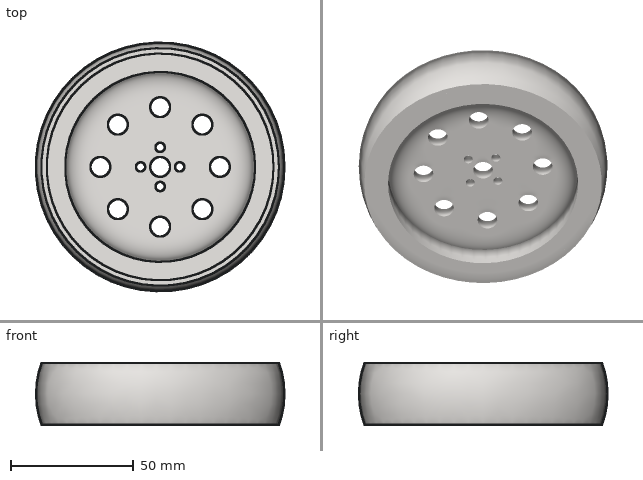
import cadquery as cq

wheel_width = 25.3
crown_radius = 50.8
tyre_edge_radius = 48.5
hub_radius = 46.3

recess_radius = 38.8
web_thickness = 5.4

axle_hole_diameter = 8.0
screw_hole_diameter = 3.7
screw_count = 4
screw_circle_radius = 8.0
lightening_hole_diameter = 8.0
lightening_count = 8
lightening_circle_radius = 24.4

half_width = wheel_width / 2
recess_depth = (wheel_width - web_thickness) / 2


def bottom_plane():
    """Workplane on the lower face of the wheel."""
    return cq.Workplane("XY", origin=(0, 0, -half_width))


def make_tyre():
    """Ring with a straight bore and an arc-crowned tread, revolved about Z."""
    profile = (
        cq.Workplane("XZ")
        .moveTo(hub_radius, -half_width)
        .lineTo(tyre_edge_radius, -half_width)
        .threePointArc((crown_radius, 0), (tyre_edge_radius, half_width))
        .lineTo(hub_radius, half_width)
        .close()
    )
    return profile.revolve(360, (0, 0, 0), (0, 1, 0))


def hole_ring(count, circle_radius, diameter):
    """Evenly spaced hole cutters on a circle about the axle."""
    return (
        bottom_plane()
        .polarArray(circle_radius, 0, 360, count)
        .circle(diameter / 2)
        .extrude(wheel_width)
    )


def make_hub():
    """Disc recessed on both faces, with axle, screw and lightening holes."""
    disc = bottom_plane().circle(hub_radius).extrude(wheel_width)
    recess = bottom_plane().circle(recess_radius).extrude(recess_depth)
    axle_hole = bottom_plane().circle(axle_hole_diameter / 2).extrude(wheel_width)
    return (
        disc
        .cut(recess)
        .cut(recess.mirror("XY"))
        .cut(axle_hole)
        .cut(hole_ring(screw_count, screw_circle_radius, screw_hole_diameter))
        .cut(hole_ring(lightening_count, lightening_circle_radius, lightening_hole_diameter))
    )


tyre = make_tyre()
hub = make_hub()

result = cq.Compound.makeCompound([tyre.val(), hub.solids().val()])